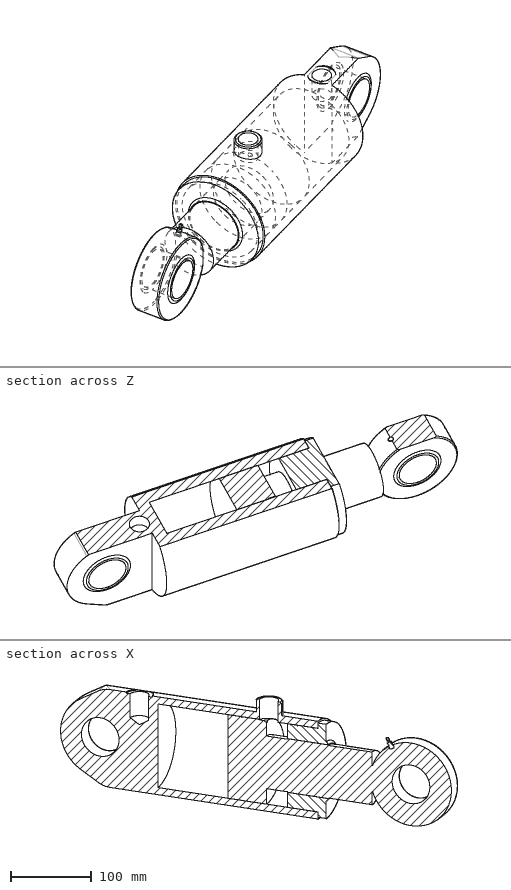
import cadquery as cq
import math


total_length = 528.0
eye_diameter = 110.0
eye_width = 40.0
eye_chamfer = 1.5
eye_bore = 50.0
rear_eye_radius = 54.0
rear_eye_position = total_length / 2 - rear_eye_radius
rod_eye_position = (eye_diameter - total_length) / 2
boss_base_diameter = 64.0
boss_face_diameter = 56.5
boss_height = 1.5

tube_diameter = 130.0
tube_bore = 110.0
tube_front = -84.0
tube_rear = 149.0
bore_bottom = 132.0
taper_angle = 30.0
shoulder_radius = 30.0

port_hole = 24.5
port_diameter = 35.0
front_port_position = -17.5
front_port_top = 82.5
port_chamfer = 1.5
rear_port_position = 157.5
spotface_height = 63.5
rear_port_bottom = 31.5
drill_tip_angle = 118.0

rod_diameter = 70.0
rod_front = -157.0
piston_front = -15.0
piston_length = 53.0
notch_diameter = 8.0
notch_depth = 2.5

gland_diameter = 125.0
gland_front = -95.0
gland_rear = -42.0
lip_base_diameter = 78.5
lip_tip_diameter = 72.5
lip_length = 3.0

nipple_angle = 60.0
nipple_base_diameter = 6.0
nipple_neck_diameter = 3.0
nipple_head_diameter = 4.0
nipple_seat_radius = 50.5
nipple_base_end = 59.0
nipple_neck_end = 62.0
nipple_tip = 65.5
nipple_tip_chamfer = 1.0


def cylinder_y(diameter, start, end):
    """Solid cylinder on the Y axis between two Y positions."""
    return cq.Workplane("XZ", origin=(0, start, 0)).circle(diameter / 2).extrude(start - end)


def cylinder_z(diameter, position, bottom, top):
    """Upright cylinder over a Y position."""
    return cq.Workplane("XY", origin=(0, position, bottom)).circle(diameter / 2).extrude(top - bottom)


def cylinder_x(diameter, position, width):
    """Cylinder across the part, centred on X = 0 at a Y position."""
    return cq.Workplane("YZ", origin=(-width / 2, position, 0)).circle(diameter / 2).extrude(width)


def eye_bosses(position):
    """Tapered collars around the pin bore, one on each side of an eye."""
    face = eye_width / 2
    half_profile = [
        (0, 0),
        (0, boss_base_diameter / 2),
        (face, boss_base_diameter / 2),
        (face + boss_height, boss_face_diameter / 2),
        (face + boss_height, 0),
    ]
    half = cq.Workplane("XY").polyline(half_profile).close().revolve(360, (0, 0), (1, 0))
    return half.union(half.mirror("YZ")).translate((0, position, 0))


def eye_hole(position):
    return cylinder_x(eye_bore, position, tube_diameter)


def rear_eye():
    """Flat plate with a round end, tapering out to the tube diameter over rounded shoulders."""
    rear_end = rear_eye_position + rear_eye_radius
    taper = math.radians(taper_angle)
    tangent_y = rear_eye_position + rear_eye_radius * math.sin(taper)
    tangent_z = rear_eye_radius * math.cos(taper)
    shoulder_z = tube_diameter / 2
    shoulder_y = tangent_y - (shoulder_z - tangent_z) / math.tan(taper)
    plate = (
        cq.Workplane("YZ", origin=(-eye_width / 2, 0, 0))
        .moveTo(bore_bottom, -shoulder_z)
        .lineTo(shoulder_y, -shoulder_z)
        .lineTo(tangent_y, -tangent_z)
        .threePointArc((rear_end, 0), (tangent_y, tangent_z))
        .lineTo(shoulder_y, shoulder_z)
        .lineTo(bore_bottom, shoulder_z)
        .close()
        .extrude(eye_width)
    )
    around_shoulders = cq.selectors.BoxSelector(
        (-eye_width, shoulder_y - shoulder_radius / 2, -tube_diameter),
        (eye_width, shoulder_y + shoulder_radius / 2, tube_diameter),
    )
    plate = plate.edges("|X").edges(around_shoulders).fillet(shoulder_radius)
    round_bar = cylinder_y(tube_diameter, bore_bottom, rear_end)
    return plate.intersect(round_bar).union(eye_bosses(rear_eye_position))


def rear_port_cut():
    """Spotface and blind drilled hole with a conical bottom."""
    radius = port_hole / 2
    tip_depth = radius / math.tan(math.radians(drill_tip_angle / 2))
    drill_profile = [
        (0, rear_port_bottom - tip_depth),
        (radius, rear_port_bottom),
        (radius, tube_diameter),
        (0, tube_diameter),
    ]
    drill = cq.Workplane("XZ").polyline(drill_profile).close().revolve(360, (0, 0), (0, 1))
    spotface = cylinder_z(port_diameter, rear_port_position, spotface_height, tube_diameter)
    return drill.translate((0, rear_port_position, 0)).union(spotface)


def make_housing():
    """Tube closed by the rear eye, with a front port stub and a rear port."""
    port_stub = cylinder_z(port_diameter, front_port_position, 0, front_port_top)
    port_stub = port_stub.faces(">Z").chamfer(port_chamfer)
    return (
        cylinder_y(tube_diameter, tube_front, tube_rear)
        .union(rear_eye())
        .union(port_stub)
        .cut(cylinder_y(tube_bore, tube_front, bore_bottom))
        .cut(cylinder_z(port_hole, front_port_position, 0, front_port_top))
        .cut(rear_port_cut())
        .cut(eye_hole(rear_eye_position))
    )


def make_gland():
    """Flanged guide bushing with a tapered wiper lip around the rod."""
    lip_tip = gland_front - lip_length
    profile = [
        (0, gland_rear),
        (tube_bore / 2, gland_rear),
        (tube_bore / 2, tube_front),
        (gland_diameter / 2, tube_front),
        (gland_diameter / 2, gland_front),
        (lip_base_diameter / 2, gland_front),
        (lip_tip_diameter / 2, lip_tip),
        (0, lip_tip),
    ]
    gland = cq.Workplane("XY").polyline(profile).close().revolve(360, (0, 0), (0, 1))
    return gland.cut(cylinder_y(rod_diameter, lip_tip, gland_rear))


def piston_notch():
    """Conical drill mark in the top of the piston's front edge."""
    radius = notch_diameter / 2
    top = tube_bore / 2
    profile = [(0, top - notch_depth), (radius, top), (0, top)]
    cone = cq.Workplane("XZ").polyline(profile).close().revolve(360, (0, 0), (0, 1))
    return cone.translate((0, piston_front, 0))


def make_nipple():
    """Grease nipple with base, neck and head, set at an angle in the rod eye."""
    profile = [
        (0, nipple_seat_radius),
        (nipple_base_diameter / 2, nipple_seat_radius),
        (nipple_base_diameter / 2, nipple_base_end),
        (nipple_neck_diameter / 2, nipple_base_end),
        (nipple_neck_diameter / 2, nipple_neck_end),
        (nipple_head_diameter / 2, nipple_neck_end),
        (nipple_head_diameter / 2, nipple_tip - nipple_tip_chamfer),
        (nipple_head_diameter / 2 - nipple_tip_chamfer, nipple_tip),
        (0, nipple_tip),
    ]
    upright = cq.Workplane("XZ").polyline(profile).close().revolve(360, (0, 0), (0, 1))
    tilted = upright.rotate((0, 0, 0), (1, 0, 0), nipple_angle - 90)
    return tilted.translate((0, rod_eye_position, 0))


def make_rod(nipple):
    """Piston, rod and rod eye in one piece, with a seat for the grease nipple."""
    eye_ring = cylinder_x(eye_diameter, rod_eye_position, eye_width).faces("<X or >X").chamfer(eye_chamfer)
    return (
        cylinder_y(rod_diameter, rod_front, piston_front)
        .union(cylinder_y(tube_bore, piston_front, piston_front + piston_length).cut(piston_notch()))
        .union(eye_ring)
        .union(eye_bosses(rod_eye_position))
        .cut(eye_hole(rod_eye_position))
        .cut(nipple)
    )


housing = make_housing()
gland = make_gland()
nipple = make_nipple()
rod = make_rod(nipple)

result = cq.Compound.makeCompound([housing.val(), gland.val(), rod.val(), nipple.val()])